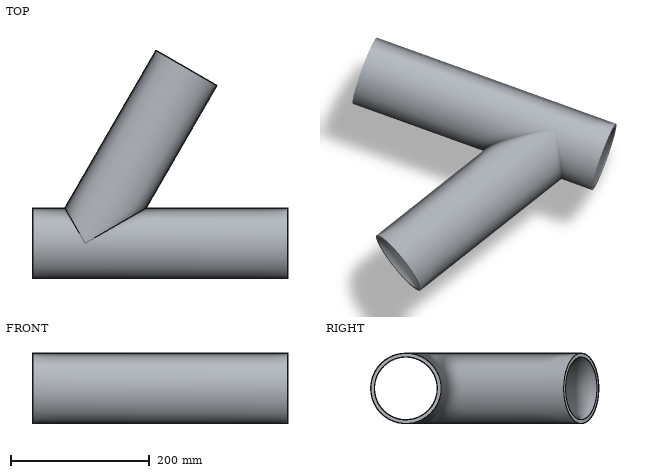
import cadquery as cq
import math

outer_diameter = 101.5
bore_diameter = 90.2
run_length = 368.3
junction_from_end = 76.0
branch_length = 292.0
branch_angle = 60.0

angle = math.radians(branch_angle)
branch_direction = cq.Vector(math.cos(angle), math.sin(angle), 0)
run_direction = cq.Vector(1, 0, 0)
run_start = cq.Vector(-junction_from_end, 0, 0)
junction = cq.Vector(0, 0, 0)


def wye(diameter):
    """Solid run and branch cylinders of one diameter, joined together."""
    run = cq.Solid.makeCylinder(diameter / 2, run_length, run_start, run_direction)
    branch = cq.Solid.makeCylinder(diameter / 2, branch_length, junction, branch_direction)
    return cq.Workplane(obj=run).union(cq.Workplane(obj=branch))


result = wye(outer_diameter).cut(wye(bore_diameter))